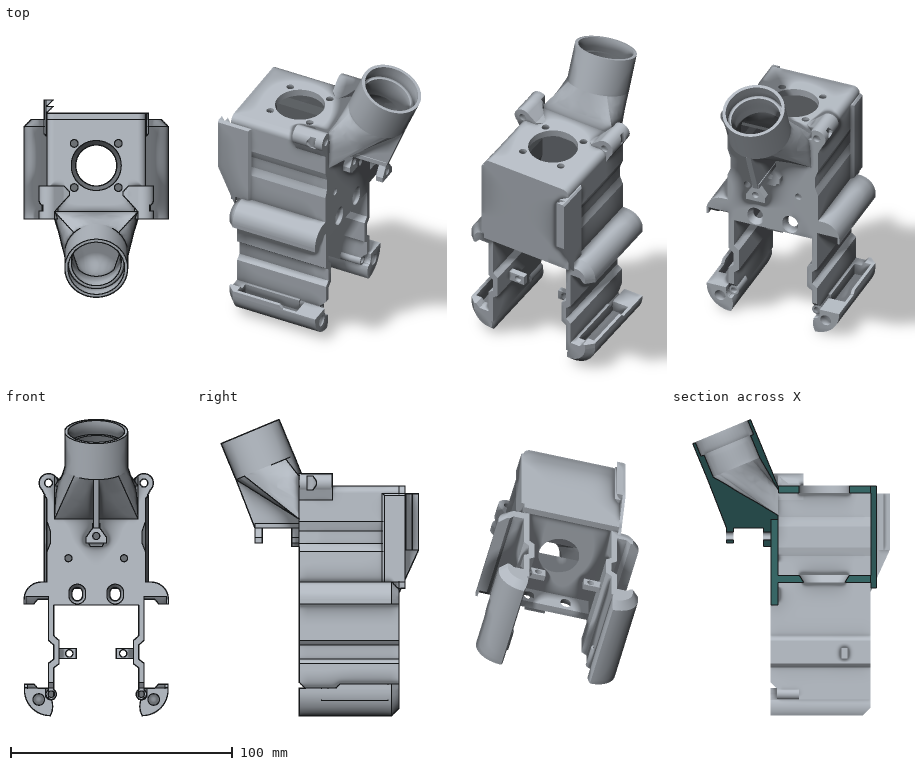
import cadquery as cq
import math

BODY_LENGTH = 45.0
PLATE = 3.3
TOP = 103.6
BOX_HALF = 22.2
LEG_HALF = 21.6
WALL = 2.5
EDGE_RADIUS = 3.2
END_BEVEL = 3.3

PLATE_BOTTOM = 49.9
SCREW_HOLE = 3.2
SCREW_X = 12.5
SCREW_Z = 71.0
ACCESS_X = 8.5
ACCESS_Z = 54.9
ACCESS_WIDTH = 7.6
ACCESS_HEIGHT = 9.0
ACCESS_TAPER = 24

FAN_Y = 24.2
FAN_HOLE = 22.5
FAN_SCREW_HOLE = 3.5
FAN_SCREW_PITCH = 19.9

FLOOR_BOTTOM = 60.1
FUNNEL_OUTLET = 18.4

FENDER_TOP = 60.3
UPPER_JOG_DEPTH = 1.5
UPPER_JOG_LEVELS = (87.6, 83.3, 77.7, 74.0)
LOWER_JOG_DEPTH = 2.4
LOWER_JOG_LEVELS = (34.0, 31.9, 25.5, 23.6)
JOG_RAMP_SHIFT = 2.0
LEG_END = 7.3
LEG_FRONT_END = 12.4
LEG_FRONT_BEVEL = 2.7

FENDER_OUTER = 32.6
FENDER_RADIUS = 7.9
FENDER_FLOOR = FENDER_TOP - FENDER_RADIUS
FENDER_LIP_BOTTOM = 50.3
LIP_WIDTH = 4.4
LIP_SLOPE = 1.7
LIP_SKIN = 1.0
FENDER_FRONT_BEVEL = 1.2

LUG_X = 21.5
LUG_Z = 104.9
LUG_RADIUS = 4.3
LUG_HOLE = 3.5
LUG_LENGTH = 15.0
LUG_FOOT_Z = 97.2
GUSSET_SHOULDER_X = 14.5
GUSSET_SHOULDER_Z = 104.7
GUSSET_TIP_X = 12.1
GUSSET_TIP_FRONT = 10.7
GUSSET_TIP_BACK = 12.4
WINDOW_FRONT = 3.6
WINDOW_BACK = 6.3
WINDOW_TIP = 7.9
WINDOW_HALF = 3.1
WINDOW_TIP_HALF = 0.7
WINDOW_DEPTH = 1.9

HINGE_X = 20.3
HINGE_Z = 9.7
KNUCKLE_DIAMETER = 4.7
KNUCKLE_HOLE = 3.0
KNUCKLE_START = 3.0
KNUCKLE_END = 13.0
HINGE_CLEARANCE = 0.3

RAIL_TOP = 12.4
RAIL_OUTER = 32.5
RAIL_RADIUS = 11.7
RAIL_HOLE = 5.2
RAIL_HEEL_X = 19.6
RAIL_HEEL_Z = 3.6
RAIL_HEEL_END_X = 20.2
RAIL_HOLE_X = 25.9
RAIL_HOLE_Z = 7.3
RAIL_HOLE_DEPTH = 6.7
RAIL_RECESS_X = 23.0
RAIL_LIP_TOP = 14.3
RAIL_LIP_START = 16.7
LIP_END_BEVEL = 1.6
RAIL_SLOT_FLOOR = 7.0
RAIL_SLOT_OUTER = 31.0
RAIL_SLOT_INNER = 23.0
RAIL_SLOT_START = 10.1
RAIL_SLOT_END = 40.0

TAB_TIP = 9.0
TAB_BOTTOM = 25.8
TAB_HEIGHT = 4.7
TAB_THICKNESS = 2.7
TAB_Y = 32.0
TAB_HOLE = 3.2
TAB_HOLE_X = 12.1

COVER_BACK = 47.8
COVER_BOTTOM = 57.4
SHIELD_OUTER = 23.5
SHIELD_FRONT = 37.4
SHIELD_TOP = 100.1
SHIELD_FRONT_BEVEL = 1.1
SHIELD_TOP_BEVEL = 0.8
WING_BACK = 53.8
WING_CORNER_Z = 74.6
WING_FOOT_Z = 55.4
TOOTH_DEPTH = 2.8
TOOTH_PITCH = 3.0
TOOTH_COUNT = 2

TUBE_DIAMETER = 28.5
TUBE_BORE = 25.5
TUBE_THROAT = 22.5
TUBE_LENGTH = 17.6
BORE_DEPTH = 6.7
TUBE_TILT = 22.6
TUBE_TOP_Y = -22.2
TUBE_TOP_Z = 128.2
FLANGE_HALF = 18.8
FLANGE_BOTTOM = 88.6
FLANGE_TOP = TOP
DUCT_WALL = 1.7
RIB_WIDTH = 2.5
RIB_BOTTOM = 84.6
RIB_BAR_TOP = 86.8
RIB_BAR_WIDTH = 3.2
RIB_FRONT = 20.0
BRACKET_THICKNESS = 3.5
BRACKET_HALF = 4.7
BRACKET_SHOULDER = 80.4
BRACKET_BOTTOM = 77.8
BRACKET_HOLE = 3.2
BRACKET_HOLE_Z = 81.0
FOOT_HALF = 3.5
FOOT_END_HALF = 2.5
FOOT_BOTTOM = 76.2


def prism(points, start, end):
    """Extrude an XZ outline from Y = start to Y = end."""
    return cq.Workplane("XZ", origin=(0, start, 0)).polyline(points).close().extrude(start - end)


def side_prism(points, start, end):
    """Extrude a YZ outline from X = start to X = end."""
    return cq.Workplane("YZ", origin=(start, 0, 0)).polyline(points).close().extrude(end - start)


def rod(x, z, diameter, start, end):
    """Cylinder along Y."""
    return cq.Workplane("XZ", origin=(x, start, z)).circle(diameter / 2).extrude(start - end)


def block(x0, x1, y0, y1, z0, z1):
    return cq.Workplane("XY").box(x1 - x0, y1 - y0, z1 - z0, centered=False).translate((x0, y0, z0))


def mirrored(shape):
    return shape.mirror("YZ")


def both_sides(shape):
    return shape.union(mirrored(shape))


def bevelled_end(shape):
    """Bevel the back end along its rounded outline and the faces that run on from it."""
    return shape.faces(">Y").edges("%CIRCLE").edges("<X").chamfer(END_BEVEL)


def only_solid(shape):
    return shape.solids().val()



def side_wall():
    """Joggled wall on the -X side, from the top plate down to the hinge."""
    upper_jog = BOX_HALF - UPPER_JOG_DEPTH
    lower_jog = LEG_HALF - LOWER_JOG_DEPTH
    high = UPPER_JOG_LEVELS
    low = LOWER_JOG_LEVELS
    outer = [
        (BOX_HALF, TOP - PLATE),
        (BOX_HALF, high[0]),
        (upper_jog, high[1]),
        (upper_jog, high[2]),
        (BOX_HALF, high[3]),
        (BOX_HALF, FENDER_TOP),
        (LEG_HALF, FENDER_TOP),
        (LEG_HALF, low[0]),
        (lower_jog, low[1]),
        (lower_jog, low[2]),
        (LEG_HALF, low[3]),
        (LEG_HALF, LEG_END),
    ]
    inner = [
        (LEG_HALF - WALL, LEG_END),
        (LEG_HALF - WALL, low[3] - JOG_RAMP_SHIFT),
        (lower_jog - WALL, low[2] - JOG_RAMP_SHIFT),
        (lower_jog - WALL, low[1] + JOG_RAMP_SHIFT),
        (LEG_HALF - WALL, low[0] + JOG_RAMP_SHIFT),
        (LEG_HALF - WALL, high[3] - JOG_RAMP_SHIFT),
        (upper_jog - WALL, high[2] - JOG_RAMP_SHIFT),
        (upper_jog - WALL, high[1] + JOG_RAMP_SHIFT),
        (LEG_HALF - WALL, high[0] + JOG_RAMP_SHIFT),
        (LEG_HALF - WALL, TOP - PLATE),
    ]
    wall = prism([(-x, z) for x, z in outer + inner], 0, BODY_LENGTH)
    front_corner = [
        (0, LEG_END),
        (0, LEG_FRONT_END + LEG_FRONT_BEVEL),
        (LEG_FRONT_BEVEL, LEG_FRONT_END),
        (KNUCKLE_END, LEG_FRONT_END),
        (KNUCKLE_END, LEG_END),
    ]
    wall = wall.cut(side_prism(front_corner, -BOX_HALF, 0))
    web = block(-LEG_HALF, -LEG_HALF + WALL, KNUCKLE_START, KNUCKLE_END, HINGE_Z, LEG_FRONT_END)
    knuckle = rod(-HINGE_X, HINGE_Z, KNUCKLE_DIAMETER, KNUCKLE_START, KNUCKLE_END)
    pin_hole = rod(-HINGE_X, HINGE_Z, KNUCKLE_HOLE, KNUCKLE_START, KNUCKLE_END)
    return wall.union(web).union(knuckle).cut(pin_hole)


def fender():
    """Quarter-round ledge outside the -X wall, with a lip along its lower edge."""
    arc_x = -FENDER_OUTER + FENDER_RADIUS
    diagonal = FENDER_RADIUS * math.sqrt(0.5)
    ledge = (
        cq.Workplane("XZ")
        .moveTo(-LEG_HALF + WALL, FENDER_FLOOR)
        .lineTo(-LEG_HALF + WALL, FENDER_TOP)
        .lineTo(arc_x, FENDER_TOP)
        .threePointArc((arc_x - diagonal, FENDER_FLOOR + diagonal), (-FENDER_OUTER, FENDER_FLOOR))
        .lineTo(-FENDER_OUTER, FENDER_LIP_BOTTOM)
        .lineTo(-FENDER_OUTER + LIP_WIDTH, FENDER_LIP_BOTTOM)
        .lineTo(-FENDER_OUTER + LIP_WIDTH + LIP_SLOPE, FENDER_FLOOR)
        .close()
        .extrude(-BODY_LENGTH)
    )
    bevel_height = FENDER_FLOOR + FENDER_FRONT_BEVEL - FENDER_LIP_BOTTOM
    bevel = side_prism(
        [(0, FENDER_LIP_BOTTOM), (0, FENDER_FLOOR + FENDER_FRONT_BEVEL), (bevel_height, FENDER_LIP_BOTTOM)],
        -FENDER_OUTER + LIP_SKIN,
        -LEG_HALF,
    )
    return bevelled_end(ledge).cut(bevel)


def top_plate():
    plate = block(-BOX_HALF, BOX_HALF, 0, BODY_LENGTH, TOP - PLATE, TOP)
    plate = plate.edges("|Y and >Z").fillet(EDGE_RADIUS)
    fan_hole = cq.Workplane("XY", origin=(0, FAN_Y, TOP - PLATE)).circle(FAN_HOLE / 2).extrude(PLATE)
    screw_holes = (
        cq.Workplane("XY", origin=(0, FAN_Y, TOP - PLATE))
        .rect(FAN_SCREW_PITCH, FAN_SCREW_PITCH, forConstruction=True)
        .vertices()
        .circle(FAN_SCREW_HOLE / 2)
        .extrude(PLATE)
    )
    return plate.cut(fan_hole).cut(screw_holes)


def floor_plate():
    """Floor of the box, with a funnel in line with the fan hole."""
    inset = LEG_HALF - WALL / 2
    plate = block(-inset, inset, 0, BODY_LENGTH, FLOOR_BOTTOM, FLOOR_BOTTOM + PLATE)
    funnel = cq.Workplane("XY", origin=(0, FAN_Y, FLOOR_BOTTOM)).circle(FUNNEL_OUTLET / 2)
    funnel = funnel.workplane(offset=PLATE).circle(FAN_HOLE / 2).loft()
    return plate.cut(funnel)


def front_plate():
    inset = LEG_HALF - WALL / 2
    plate = block(-inset, inset, 0, PLATE, PLATE_BOTTOM, TOP - PLATE)
    screw_holes = (
        cq.Workplane("XZ", origin=(0, 0, SCREW_Z))
        .pushPoints([(-SCREW_X, 0), (SCREW_X, 0)])
        .circle(SCREW_HOLE / 2)
        .extrude(-PLATE)
    )
    access_holes = (
        cq.Workplane("XZ", origin=(0, 0, ACCESS_Z))
        .pushPoints([(-ACCESS_X, 0), (ACCESS_X, 0)])
        .slot2D(ACCESS_HEIGHT, ACCESS_WIDTH, 90)
        .extrude(-PLATE, taper=ACCESS_TAPER)
    )
    jog_x = (BOX_HALF, BOX_HALF - UPPER_JOG_DEPTH, BOX_HALF - UPPER_JOG_DEPTH, BOX_HALF)
    jog_notch = prism([(-x, z) for x, z in zip(jog_x, UPPER_JOG_LEVELS)], 0, PLATE)
    return plate.cut(both_sides(jog_notch)).cut(screw_holes).cut(access_holes)


def lug():
    """Pivot lug on the -X top corner, with a gusset onto the top plate and a side window."""
    barrel = rod(-LUG_X, LUG_Z, 2 * LUG_RADIUS, 0, LUG_LENGTH)
    tangent = LUG_RADIUS * math.sqrt(0.5)
    foot = prism(
        [
            (-LUG_X - tangent, LUG_Z - tangent),
            (-LUG_X, LUG_Z),
            (-FLANGE_HALF, LUG_Z),
            (-FLANGE_HALF, LUG_FOOT_Z),
            (-BOX_HALF, LUG_FOOT_Z),
        ],
        0,
        LUG_LENGTH,
    )
    gusset = prism(
        [
            (-LUG_X, TOP - PLATE / 2),
            (-LUG_X, LUG_Z),
            (-LUG_X + tangent, LUG_Z + tangent),
            (-GUSSET_SHOULDER_X, GUSSET_SHOULDER_Z),
            (-GUSSET_TIP_X, TOP),
            (-GUSSET_TIP_X, TOP - PLATE / 2),
        ],
        0,
        LUG_LENGTH,
    )
    gusset_plan = [
        (-LUG_X, 0),
        (-LUG_X, LUG_LENGTH),
        (-GUSSET_SHOULDER_X, LUG_LENGTH),
        (-GUSSET_TIP_X, GUSSET_TIP_BACK),
        (-GUSSET_TIP_X, GUSSET_TIP_FRONT),
        (-FLANGE_HALF, PLATE),
        (-FLANGE_HALF, 0),
    ]
    gusset = gusset.intersect(cq.Workplane("XY").polyline(gusset_plan).close().extrude(2 * TOP))
    window = side_prism(
        [
            (WINDOW_FRONT, LUG_Z - WINDOW_HALF),
            (WINDOW_FRONT, LUG_Z + WINDOW_HALF),
            (WINDOW_BACK, LUG_Z + WINDOW_HALF),
            (WINDOW_TIP, LUG_Z + WINDOW_TIP_HALF),
            (WINDOW_TIP, LUG_Z - WINDOW_TIP_HALF),
            (WINDOW_BACK, LUG_Z - WINDOW_HALF),
        ],
        -LUG_X - LUG_RADIUS,
        -LUG_X - LUG_RADIUS + WINDOW_DEPTH,
    )
    bore = rod(-LUG_X, LUG_Z, LUG_HOLE, 0, LUG_LENGTH)
    return barrel.union(foot).union(gusset).cut(bore).cut(window)


def make_housing():
    sides = side_wall().union(fender()).union(lug())
    housing = top_plate().union(floor_plate()).union(front_plate()).union(both_sides(sides))
    lug_bore = rod(-LUG_X, LUG_Z, LUG_HOLE, 0, LUG_LENGTH)
    nozzle_notch = block(-FLANGE_HALF, FLANGE_HALF, 0, PLATE, FLANGE_BOTTOM, FLANGE_TOP + 2 * LUG_RADIUS)
    return housing.cut(both_sides(lug_bore)).cut(nozzle_notch)



def make_rail():
    """Quarter-round rail hinged below the -X leg."""
    arc_x = -RAIL_OUTER + RAIL_RADIUS
    diagonal = RAIL_RADIUS * math.sqrt(0.5)
    rail = (
        cq.Workplane("XZ")
        .moveTo(-LEG_HALF, RAIL_TOP)
        .lineTo(-RAIL_OUTER, RAIL_TOP)
        .lineTo(-RAIL_OUTER, RAIL_RADIUS)
        .threePointArc((arc_x - diagonal, RAIL_RADIUS - diagonal), (arc_x, 0))
        .threePointArc((-RAIL_HEEL_X, RAIL_HEEL_Z), (-RAIL_HEEL_END_X, LEG_END))
        .lineTo(-LEG_HALF, LEG_END)
        .close()
        .extrude(-BODY_LENGTH)
    )
    lip = prism(
        [
            (-RAIL_OUTER, RAIL_TOP),
            (-RAIL_OUTER, RAIL_LIP_TOP),
            (-RAIL_OUTER + LIP_WIDTH, RAIL_LIP_TOP),
            (-RAIL_OUTER + LIP_WIDTH + LIP_SLOPE, RAIL_TOP),
        ],
        RAIL_LIP_START,
        BODY_LENGTH,
    )
    lip = lip.faces("<Y").edges(">Z").chamfer(LIP_END_BEVEL)
    lip = lip.faces(">Y").edges("<X").chamfer(END_BEVEL)
    slot = block(
        -RAIL_SLOT_OUTER, -RAIL_SLOT_INNER, RAIL_SLOT_START, RAIL_SLOT_END, RAIL_SLOT_FLOOR, RAIL_LIP_TOP
    )
    end_hole = rod(-RAIL_HOLE_X, RAIL_HOLE_Z, RAIL_HOLE, 0, RAIL_HOLE_DEPTH)
    hinge_groove = rod(-HINGE_X, HINGE_Z, KNUCKLE_DIAMETER + 2 * HINGE_CLEARANCE, 0, KNUCKLE_END)
    hinge_recess = block(-RAIL_RECESS_X, -HINGE_X, 0, KNUCKLE_END, HINGE_Z, RAIL_TOP)
    rail = bevelled_end(rail).union(lip).cut(slot).cut(end_hole)
    return rail.cut(hinge_groove).cut(hinge_recess)



def make_tab():
    """Drilled tab that stands on the inner face of the -X leg."""
    root = LEG_HALF - LOWER_JOG_DEPTH - WALL
    tab = block(-root, -TAB_TIP, TAB_Y, TAB_Y + TAB_THICKNESS, TAB_BOTTOM, TAB_BOTTOM + TAB_HEIGHT)
    return tab.cut(rod(-TAB_HOLE_X, TAB_BOTTOM + TAB_HEIGHT / 2, TAB_HOLE, TAB_Y, TAB_Y + TAB_THICKNESS))



def tooth(back):
    """Vertical saw tooth inside the wing, square at its back."""
    outline = [
        (-BOX_HALF, back - TOOTH_DEPTH),
        (-BOX_HALF, back),
        (-BOX_HALF + TOOTH_DEPTH, back),
    ]
    height = SHIELD_TOP - WING_CORNER_Z
    return cq.Workplane("XY", origin=(0, 0, WING_CORNER_Z)).polyline(outline).close().extrude(height)


def shield(outline):
    """Side flange on the -X side, with its front and top outer edges bevelled."""
    flange = side_prism(outline, -SHIELD_OUTER, -BOX_HALF)
    flange = flange.faces("<Y").edges("<X").chamfer(SHIELD_FRONT_BEVEL)
    return flange.faces(">Z").edges("<X").chamfer(SHIELD_TOP_BEVEL)


def make_back_cover():
    plate = block(-BOX_HALF, BOX_HALF, BODY_LENGTH, COVER_BACK, COVER_BOTTOM, TOP)
    plate = plate.edges("|Y and >Z").fillet(EDGE_RADIUS)
    wing = shield(
        [
            (SHIELD_FRONT, FENDER_TOP),
            (BODY_LENGTH, FENDER_TOP),
            (BODY_LENGTH, WING_FOOT_Z),
            (WING_BACK, WING_CORNER_Z),
            (WING_BACK, SHIELD_TOP),
            (SHIELD_FRONT, SHIELD_TOP),
        ]
    )
    short_shield = shield(
        [
            (SHIELD_FRONT, FENDER_TOP),
            (COVER_BACK, FENDER_TOP),
            (COVER_BACK, SHIELD_TOP),
            (SHIELD_FRONT, SHIELD_TOP),
        ]
    )
    cover = plate.union(wing).union(mirrored(short_shield))
    for index in range(TOOTH_COUNT):
        cover = cover.union(tooth(WING_BACK - index * TOOTH_PITCH))
    return cover



def tube_plane(depth):
    """Plane square to the tube axis, a given depth below the tube mouth."""
    tilt = math.radians(TUBE_TILT)
    axis = (0, -math.sin(tilt), math.cos(tilt))
    origin = (0, TUBE_TOP_Y - depth * axis[1], TUBE_TOP_Z - depth * axis[2])
    return cq.Plane(origin=origin, xDir=(1, 0, 0), normal=axis)


def tube_cylinder(diameter, top, bottom):
    return cq.Workplane(tube_plane(bottom)).circle(diameter / 2).extrude(bottom - top)


def duct(inset, lower_y, diameter):
    """Ruled transition from the rectangular mouth to a circle at the foot of the tube.

    The lower edge of the mouth lies at Y = lower_y and its upper edge on the back of the flange.
    """
    half = FLANGE_HALF - inset
    low = FLANGE_BOTTOM + inset
    high = FLANGE_TOP - inset
    corners = [(half, PLATE, high), (-half, PLATE, high), (-half, lower_y, low), (half, lower_y, low)]
    mouth = cq.Wire.makePolygon([cq.Vector(*corner) for corner in corners], close=True)
    reach = diameter / 2
    diagonal = reach * math.sqrt(0.5)
    ring = (
        cq.Workplane(tube_plane(TUBE_LENGTH))
        .moveTo(diagonal, diagonal)
        .threePointArc((0, reach), (-diagonal, diagonal))
        .threePointArc((-reach, 0), (-diagonal, -diagonal))
        .threePointArc((0, -reach), (diagonal, -diagonal))
        .threePointArc((reach, 0), (diagonal, diagonal))
        .close()
        .val()
    )
    return cq.Workplane(cq.Solid.makeLoft([mouth, ring], True))


def bracket(front):
    """Drilled hanger plate below the rib."""
    outline = [
        (-RIB_BAR_WIDTH / 2, RIB_BOTTOM),
        (-BRACKET_HALF, BRACKET_SHOULDER),
        (-BRACKET_HALF, BRACKET_BOTTOM),
        (BRACKET_HALF, BRACKET_BOTTOM),
        (BRACKET_HALF, BRACKET_SHOULDER),
        (RIB_BAR_WIDTH / 2, RIB_BOTTOM),
    ]
    plate = prism(outline, front, front + BRACKET_THICKNESS)
    return plate.cut(rod(0, BRACKET_HOLE_Z, BRACKET_HOLE, front, front + BRACKET_THICKNESS))


def make_nozzle():
    flange = block(-FLANGE_HALF, FLANGE_HALF, 0, PLATE, FLANGE_BOTTOM, FLANGE_TOP)
    tube = tube_cylinder(TUBE_DIAMETER, 0, TUBE_LENGTH)
    tube_front = tube_plane(TUBE_LENGTH).toWorldCoords((0, -TUBE_DIAMETER / 2, 0))
    rib = side_prism(
        [(0, RIB_BOTTOM), (-RIB_FRONT, RIB_BOTTOM), (tube_front.y, tube_front.z), (0, FLANGE_TOP)],
        -RIB_WIDTH / 2,
        RIB_WIDTH / 2,
    )
    bar = block(-RIB_BAR_WIDTH / 2, RIB_BAR_WIDTH / 2, -RIB_FRONT, 0, RIB_BOTTOM, RIB_BAR_TOP)
    foot = prism(
        [
            (-FOOT_HALF, BRACKET_BOTTOM),
            (-FOOT_END_HALF, FOOT_BOTTOM),
            (FOOT_END_HALF, FOOT_BOTTOM),
            (FOOT_HALF, BRACKET_BOTTOM),
        ],
        -BRACKET_THICKNESS,
        0,
    )
    nozzle = flange.union(duct(0, 0, TUBE_DIAMETER)).union(tube).union(rib).union(bar)
    nozzle = nozzle.cut(duct(DUCT_WALL, PLATE, TUBE_THROAT))
    nozzle = nozzle.cut(tube_cylinder(TUBE_THROAT, 0, TUBE_LENGTH))
    nozzle = nozzle.cut(tube_cylinder(TUBE_BORE, 0, BORE_DEPTH))
    return nozzle.union(bracket(-RIB_FRONT)).union(bracket(-BRACKET_THICKNESS)).union(foot)


housing = make_housing()
back_cover = make_back_cover()
nozzle = make_nozzle()
rails = []
tabs = []
for on_right in (False, True):
    rail = make_rail()
    tab = make_tab()
    rails.append(only_solid(mirrored(rail) if on_right else rail))
    tabs.append(only_solid(mirrored(tab) if on_right else tab))

result = cq.Compound.makeCompound(
    [only_solid(housing), only_solid(back_cover), only_solid(nozzle), *rails, *tabs]
)